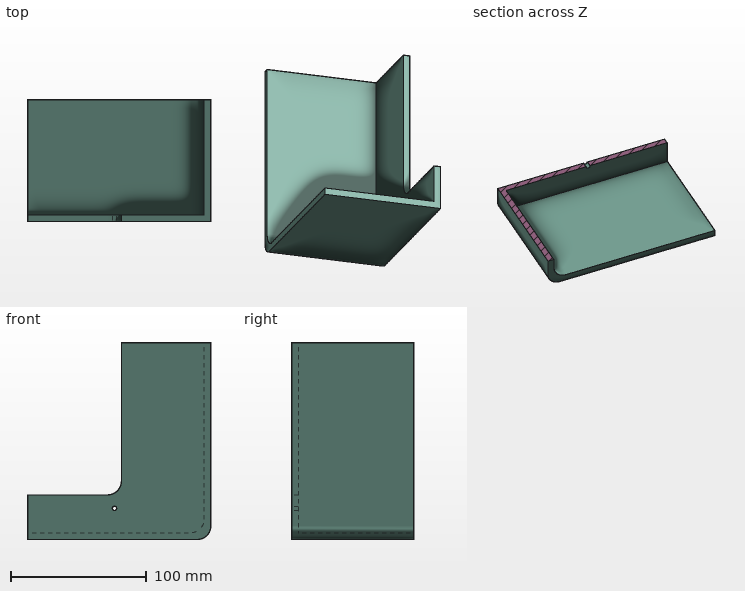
import cadquery as cq

length = 135.0
depth = 90.0
height = 145.0

wall = 5.0
inner_bend_radius = 10.0
outer_bend_radius = 10.0

foot_height = 33.0
upright_width = 66.0
web_corner_radius = 10.0

hole_diameter = 3.0
hole_x = 64.0
hole_z = 23.0


def extrude_along_y(sketch, thickness):
    """Extrude an XZ sketch from Y = 0 toward +Y."""
    return sketch.extrude(-thickness)


def bent_plate():
    """Floor and back wall joined by a rounded bend, over the full depth."""
    profile = (
        cq.Workplane("XZ")
        .lineTo(length, 0)
        .lineTo(length, height)
        .lineTo(length - wall, height)
        .lineTo(length - wall, wall)
        .lineTo(0, wall)
        .close()
    )
    plate = extrude_along_y(profile, depth)
    inner_corner = cq.selectors.NearestToPointSelector((length - wall, depth / 2, wall))
    outer_corner = cq.selectors.NearestToPointSelector((length, depth / 2, 0))
    plate = plate.edges(inner_corner).fillet(inner_bend_radius)
    return plate.edges(outer_corner).fillet(outer_bend_radius)


def side_web():
    """L-shaped web closing the Y = 0 side, rounded at both corners of the L."""
    step_x = length - upright_width
    profile = (
        cq.Workplane("XZ")
        .lineTo(length, 0)
        .lineTo(length, height)
        .lineTo(step_x, height)
        .lineTo(step_x, foot_height)
        .lineTo(0, foot_height)
        .close()
    )
    web = extrude_along_y(profile, wall)
    inner_corner = cq.selectors.NearestToPointSelector((step_x, wall / 2, foot_height))
    outer_corner = cq.selectors.NearestToPointSelector((length, wall / 2, 0))
    web = web.edges(inner_corner).fillet(web_corner_radius)
    return web.edges(outer_corner).fillet(outer_bend_radius)


def web_hole():
    """Cutter for the hole through the web."""
    circle = cq.Workplane("XZ").center(hole_x, hole_z).circle(hole_diameter / 2)
    return extrude_along_y(circle, wall)


result = bent_plate().union(side_web()).cut(web_hole())